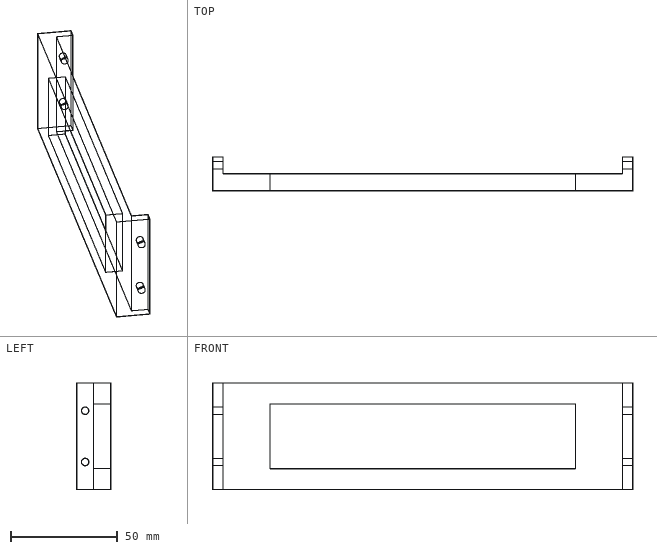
import cadquery as cq

length = 196.5
depth = 16.0
height = 50.0

plate_thickness = 8.0
tab_thickness = 5.0

window_length = 142.7
window_height = 30.0

hole_diameter = 3.3
hole_spacing = 24.0
hole_from_back = 4.0

body = cq.Workplane("XY").box(length, depth, height)

recess_depth = depth - plate_thickness
recess = cq.Workplane("XY").box(length - 2 * tab_thickness, recess_depth, height)
body = body.cut(recess.translate((0, plate_thickness / 2, 0)))

body = body.cut(cq.Workplane("XY").box(window_length, depth, window_height))

hole_y = depth / 2 - hole_from_back
hole_points = [(hole_y, side * hole_spacing / 2) for side in (-1, 1)]
holes = (
    cq.Workplane("YZ")
    .pushPoints(hole_points)
    .circle(hole_diameter / 2)
    .extrude(length / 2, both=True)
)
result = body.cut(holes)